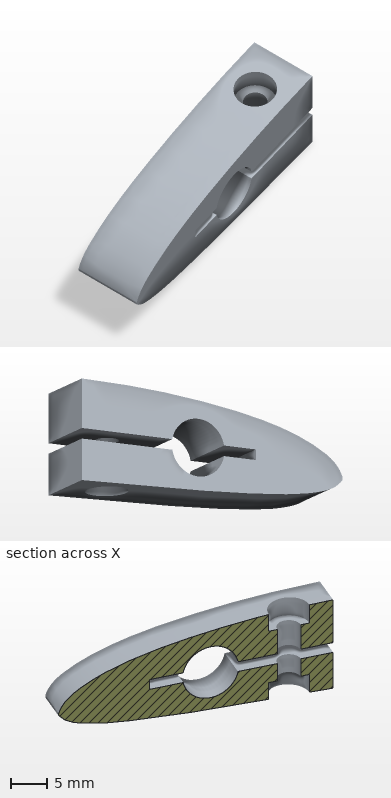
import cadquery as cq

width = 10.0
length = 40.45
height = 14.4

tip_top = 4.97
tip_bottom = 4.55
upper_flank = [(29.1, 14.0), (19.4, 12.95), (10.5, 11.2), (3.4, 8.45), (0.97, 6.65)]
lower_flank = [(0.97, 3.6), (3.4, 2.55), (10.5, 1.37), (19.4, 0.73), (29.1, 0.35)]

bore_diameter = 8.15
bore_y = 22.4
split_z = 6.65
slot_width = 1.5
slot_end_y = 13.45

screw_y = 33.95
screw_diameter = 3.4
counterbore_diameter = 6.0
counterbore_depth = 3.0


def make_body():
    """Teardrop side profile extruded across the width, centred on X = 0."""
    return (
        cq.Workplane("YZ", origin=(-width / 2, 0, 0))
        .moveTo(length, height)
        .spline(upper_flank + [(0, tip_top)], includeCurrent=True)
        .lineTo(0, tip_bottom)
        .spline(lower_flank + [(length, 0)], includeCurrent=True)
        .close()
        .extrude(width)
    )


def make_clamp_cut():
    """Cross bore together with the slot running in from the split end."""
    bore = (
        cq.Workplane("YZ", origin=(-width / 2, 0, 0))
        .center(bore_y, split_z)
        .circle(bore_diameter / 2)
        .extrude(width)
    )
    slot_length = length - slot_end_y
    slot = cq.Workplane("XY").box(width, slot_length, slot_width)
    slot = slot.translate((0, slot_end_y + slot_length / 2, split_z))
    return bore.union(slot)


def make_vertical_cylinder(diameter, bottom_z, cylinder_height):
    """Cylinder on the screw axis."""
    return (
        cq.Workplane("XY", origin=(0, screw_y, bottom_z))
        .circle(diameter / 2)
        .extrude(cylinder_height)
    )


def make_screw_cut():
    """Through hole with a counterbore in each jaw."""
    hole = make_vertical_cylinder(screw_diameter, 0, height)
    for bottom_z in (0, height - counterbore_depth):
        hole = hole.union(make_vertical_cylinder(counterbore_diameter, bottom_z, counterbore_depth))
    return hole


result = make_body().cut(make_clamp_cut()).cut(make_screw_cut())